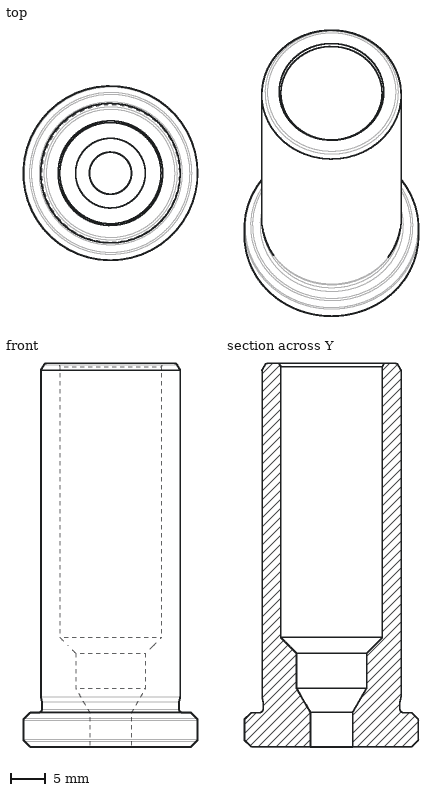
import cadquery as cq
import math

TOTAL_LENGTH = 55.0
BODY_RADIUS = 20.0 / 2
FLANGE_RADIUS = 25.0 / 2
FLANGE_THICKNESS = 5.0

FLANGE_CHAMFER = 1.0
FLANGE_CORNER_ROUND = 0.4

GROOVE_RADIUS = 19.7 / 2
GROOVE_FILLET = 0.4
GROOVE_LENGTH = 2.2
GROOVE_RUN_OUT_LENGTH = 0.7

LEAD_IN_LENGTH = 1.0
LEAD_IN_ANGLE = 30.0
LEAD_IN_ROUND = 0.4

OUTLET_RADIUS = 6.0 / 2
STEP_RADIUS = 10.0 / 2
BORE_RADIUS = 14.5 / 2
OUTLET_LENGTH = FLANGE_THICKNESS
STEP_LENGTH = 5.0
OUTLET_CONE_ANGLE = 30.0
STEP_CONE_ANGLE = 45.0
BORE_CHAMFER_WIDTH = 0.25
BORE_CHAMFER_DEPTH = 0.5


def cone_length(small_radius, large_radius, angle):
    """Axial length of a cone whose wall leans from the axis by the given angle."""
    return (large_radius - small_radius) / math.tan(math.radians(angle))


def revolve_about_z(profile):
    """Turn a closed half profile in the XZ plane into a solid of revolution."""
    return profile.close().revolve(360, (0, 0, 0), (0, 1, 0))


def make_flange():
    """Disc with chamfered rims whose corners are rounded."""
    disc = cq.Workplane("XY").circle(FLANGE_RADIUS).extrude(FLANGE_THICKNESS)
    disc = disc.edges("%CIRCLE").chamfer(FLANGE_CHAMFER)
    return disc.edges("%CIRCLE").fillet(FLANGE_CORNER_ROUND)


def make_body():
    """Shank with the relief groove at its foot and the lead-in taper at its end."""
    groove_top = FLANGE_THICKNESS + GROOVE_LENGTH
    fillet_center_radius = GROOVE_RADIUS + GROOVE_FILLET
    fillet_center_z = FLANGE_THICKNESS + GROOVE_FILLET
    fillet_diagonal = GROOVE_FILLET * math.sqrt(0.5)
    fillet_middle = (fillet_center_radius - fillet_diagonal, fillet_center_z - fillet_diagonal)
    lead_in_depth = LEAD_IN_LENGTH * math.tan(math.radians(LEAD_IN_ANGLE))

    profile = (
        cq.Workplane("XZ")
        .lineTo(fillet_center_radius, 0)
        .lineTo(fillet_center_radius, FLANGE_THICKNESS)
        .threePointArc(fillet_middle, (GROOVE_RADIUS, fillet_center_z))
        .lineTo(GROOVE_RADIUS, groove_top - GROOVE_RUN_OUT_LENGTH)
        .lineTo(BODY_RADIUS, groove_top)
        .lineTo(BODY_RADIUS, TOTAL_LENGTH - LEAD_IN_LENGTH)
        .lineTo(BODY_RADIUS - lead_in_depth, TOTAL_LENGTH)
        .lineTo(0, TOTAL_LENGTH)
    )
    body = revolve_about_z(profile)
    return body.faces(">Z").edges().fillet(LEAD_IN_ROUND)


def make_bore():
    """Cutting solid of the stepped bore that runs through the whole part."""
    step_bottom = OUTLET_LENGTH + cone_length(OUTLET_RADIUS, STEP_RADIUS, OUTLET_CONE_ANGLE)
    step_top = step_bottom + STEP_LENGTH
    bore_bottom = step_top + cone_length(STEP_RADIUS, BORE_RADIUS, STEP_CONE_ANGLE)

    profile = (
        cq.Workplane("XZ")
        .lineTo(OUTLET_RADIUS, 0)
        .lineTo(OUTLET_RADIUS, OUTLET_LENGTH)
        .lineTo(STEP_RADIUS, step_bottom)
        .lineTo(STEP_RADIUS, step_top)
        .lineTo(BORE_RADIUS, bore_bottom)
        .lineTo(BORE_RADIUS, TOTAL_LENGTH - BORE_CHAMFER_DEPTH)
        .lineTo(BORE_RADIUS + BORE_CHAMFER_WIDTH, TOTAL_LENGTH)
        .lineTo(0, TOTAL_LENGTH)
    )
    return revolve_about_z(profile)


result = make_flange().union(make_body()).cut(make_bore())